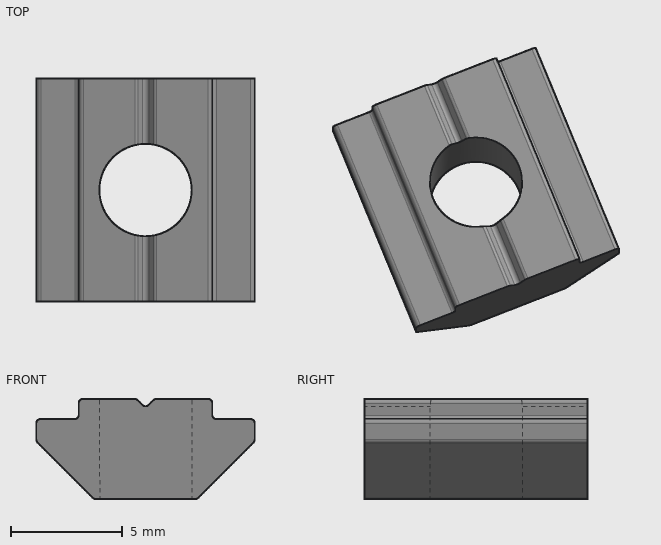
import cadquery as cq

length = 10.0
width = 9.8
height = 4.5

rail_width = 6.0
rail_height = 0.9
shoulder_z = height - rail_height

undercut_height = 2.6
base_width = width - 2 * undercut_height

groove_half_width = 0.41
hole_diameter = 4.13

edge_radius = 0.2
shoulder_root_radius = 0.17


base_corner = (base_width / 2, 0)
undercut_corner = (width / 2, undercut_height)
shoulder_corner = (width / 2, shoulder_z)
shoulder_root = (rail_width / 2, shoulder_z)
rail_corner = (rail_width / 2, height)
groove_corner = (groove_half_width, height)
groove_bottom = (0, height - groove_half_width)
right_side = [base_corner, undercut_corner, shoulder_corner, shoulder_root, rail_corner, groove_corner]


def make_profile():
    """Extrude the sharp-cornered, symmetric cross-section along Y."""
    left_side = [(-x, z) for x, z in reversed(right_side)]
    outline = right_side + [groove_bottom] + left_side
    return cq.Workplane("XZ").polyline(outline).close().extrude(length / 2, both=True)


def round_edge(body, x, z, radius):
    """Fillet the edge that runs along Y through (x, z)."""
    edge = cq.selectors.NearestToPointSelector((x, 0, z))
    return body.edges(edge).fillet(radius)


def round_long_edges(body):
    """Round every edge of the profile, with a smaller radius at the shoulder roots."""
    for x, z in right_side:
        radius = shoulder_root_radius if (x, z) == shoulder_root else edge_radius
        for side in (-1, 1):
            body = round_edge(body, side * x, z, radius)
    return round_edge(body, *groove_bottom, edge_radius)


def make_hole():
    """Vertical cylinder through the full height."""
    return cq.Workplane("XY").circle(hole_diameter / 2).extrude(height)


result = round_long_edges(make_profile()).cut(make_hole())